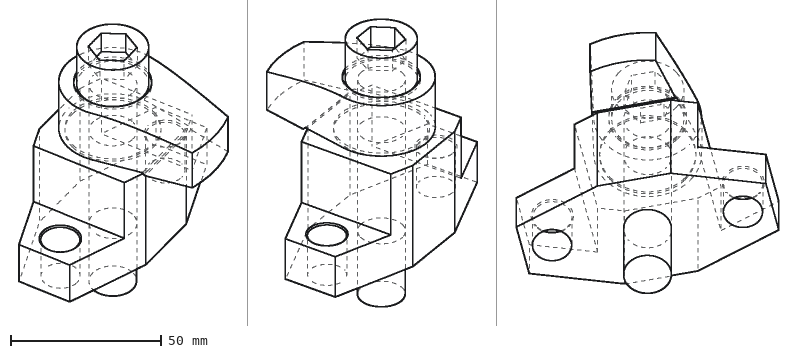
import cadquery as cq
import math

base_z = 25.0
flange_height = 16.0
block_height = 40.0
collar_height = 1.0
ring_height = 20.0
screw_top_z = 101.0
block_top_z = base_z + block_height
ring_bottom_z = block_top_z + collar_height
ring_top_z = ring_bottom_z + ring_height

housing_width = 42.0
housing_length = 85.0
flange_tip_width = 20.0
side_flat_length = 25.0
block_length = housing_width
mount_hole_spacing = 65.0
mount_hole_diameter = 13.0
mount_hole_chamfer = 0.5

shank_diameter = 16.0
head_diameter = 24.0
head_seat_depth = 1.0
socket_flats = 14.0
socket_depth = 8.0
head_bottom_z = ring_top_z - head_seat_depth

ring_radius = 18.0
collar_diameter = 32.0
counterbore_diameter = 26.0
arm_reach = 40.0
arm_side_angle = math.radians(10.5)
slope_drop = 6.0
foot_start_x = 20.7


def make_housing():
    """Block with two tapered flanges, mounting holes and a screw bore."""
    half_width = housing_width / 2
    half_length = housing_length / 2
    half_tip = flange_tip_width / 2
    half_flat = side_flat_length / 2
    body = (
        cq.Workplane("XY", origin=(0, 0, base_z))
        .polyline([
            (half_tip, half_length),
            (half_width, half_flat),
            (half_width, -half_flat),
            (half_tip, -half_length),
            (-half_tip, -half_length),
            (-half_width, -half_flat),
            (-half_width, half_flat),
            (-half_tip, half_length),
        ])
        .close()
        .extrude(block_height)
    )
    shoulder_length = (housing_length - block_length) / 2
    for side in (-1, 1):
        clearance = (
            cq.Workplane("XY", origin=(0, 0, base_z + flange_height))
            .center(0, side * (block_length + shoulder_length) / 2)
            .rect(housing_width, shoulder_length)
            .extrude(block_height - flange_height)
        )
        body = body.cut(clearance)
    hole_radius = mount_hole_diameter / 2
    rim_radius = hole_radius + mount_hole_chamfer
    flange_top_z = base_z + flange_height
    for side in (-1, 1):
        hole = (
            cq.Workplane("XZ")
            .polyline([
                (0, base_z),
                (hole_radius, base_z),
                (hole_radius, flange_top_z - mount_hole_chamfer),
                (rim_radius, flange_top_z),
                (0, flange_top_z),
            ])
            .close()
            .revolve(360, (0, 0), (0, 1))
            .translate((0, side * mount_hole_spacing / 2, 0))
        )
        body = body.cut(hole)
    screw_bore = (
        cq.Workplane("XY", origin=(0, 0, base_z))
        .circle(shank_diameter / 2)
        .extrude(block_height)
    )
    return body.cut(screw_bore)


def make_finger():
    """Tapered finger tangent to the ring, with a conical top and a stepped underside."""
    tangent_x = ring_radius * math.sin(arm_side_angle)
    tangent_y = ring_radius * math.cos(arm_side_angle)
    end_angle = math.asin(ring_radius / arm_reach) - arm_side_angle
    end_x = arm_reach * math.cos(end_angle)
    end_y = arm_reach * math.sin(end_angle)
    outline = (
        cq.Workplane("XY", origin=(0, 0, block_top_z))
        .moveTo(tangent_x, -tangent_y)
        .lineTo(end_x, -end_y)
        .threePointArc((arm_reach, 0), (end_x, end_y))
        .lineTo(tangent_x, tangent_y)
        .close()
        .extrude(ring_top_z - block_top_z)
    )
    envelope = (
        cq.Workplane("XZ")
        .polyline([
            (0, block_top_z),
            (arm_reach, block_top_z),
            (arm_reach, ring_top_z - slope_drop),
            (ring_radius, ring_top_z),
            (0, ring_top_z),
        ])
        .close()
        .revolve(360, (0, 0), (0, 1))
    )
    underside_gap = (
        cq.Workplane("XZ")
        .polyline([
            (0, block_top_z),
            (foot_start_x + collar_height, block_top_z),
            (foot_start_x, ring_bottom_z),
            (0, ring_bottom_z),
        ])
        .close()
        .extrude(ring_radius, both=True)
    )
    return outline.intersect(envelope).cut(underside_gap)


def make_clamp_arm():
    """Ring with a collar below, a finger to one side and a counterbored screw hole."""
    ring = (
        cq.Workplane("XY", origin=(0, 0, ring_bottom_z))
        .circle(ring_radius)
        .extrude(ring_height)
    )
    collar = (
        cq.Workplane("XY", origin=(0, 0, block_top_z))
        .circle(collar_diameter / 2)
        .extrude(collar_height)
    )
    screw_bore = (
        cq.Workplane("XY", origin=(0, 0, block_top_z))
        .circle(shank_diameter / 2)
        .extrude(collar_height + ring_height)
    )
    counterbore = (
        cq.Workplane("XY", origin=(0, 0, head_bottom_z))
        .circle(counterbore_diameter / 2)
        .extrude(head_seat_depth)
    )
    return ring.union(make_finger()).union(collar).cut(screw_bore).cut(counterbore)


def make_screw():
    """Cylindrical head screw with a hexagonal socket."""
    shank = cq.Workplane("XY").circle(shank_diameter / 2).extrude(head_bottom_z)
    head = (
        cq.Workplane("XY", origin=(0, 0, head_bottom_z))
        .circle(head_diameter / 2)
        .extrude(screw_top_z - head_bottom_z)
    )
    socket = (
        cq.Workplane("XY", origin=(0, 0, screw_top_z - socket_depth))
        .polygon(6, socket_flats, circumscribed=True)
        .extrude(socket_depth)
    )
    return shank.union(head).cut(socket)


housing = make_housing()
clamp_arm = make_clamp_arm()
screw = make_screw()

result = cq.Compound.makeCompound([housing.val(), clamp_arm.val(), screw.val()])